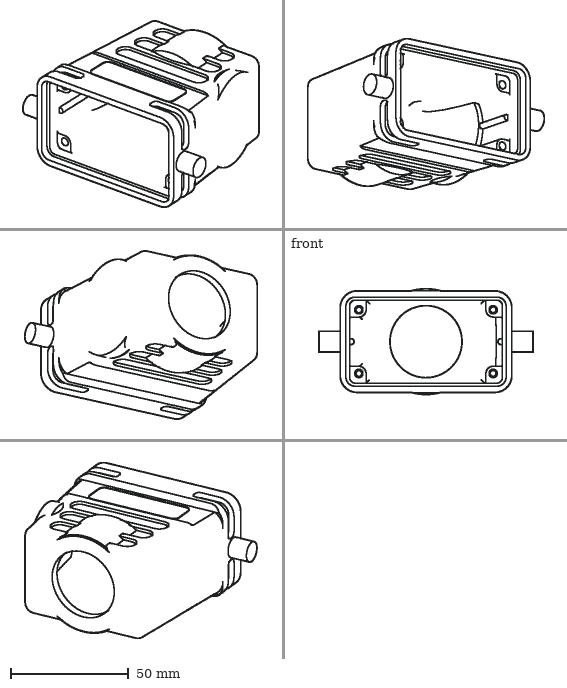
import cadquery as cq
import math


FLANGE_HALF_X = 36.5
FLANGE_HALF_Z = 21.6
FLANGE_DEPTH = 15.1
FLANGE_CORNER_R = 7.3
FLANGE_BEVEL_START = 13.0

LENGTH = 70.4
BACK_HALF_X = 29.2
BODY_HALF_Z = 20.0
BODY_FRONT_CORNER_R = 7.5
BODY_BACK_CORNER_R = 4.2
BACK_EDGE_R = 2.0
LABEL_BAND_HALF_Z = 19.1
LABEL_BAND_END = 31.2
LABEL_BAND_RAMP = 0.4
SIDE_SLOPE = (FLANGE_HALF_X - BACK_HALF_X) / (LENGTH - FLANGE_DEPTH)
SIDE_ANGLE = math.degrees(math.atan(SIDE_SLOPE))

GRIP_HALF_LENGTHS = (23.5, 22.0, 20.5)
GRIP_FIRST_Y = 39.7
GRIP_PITCH = 11.0
GRIP_WIDTH = 8.0
GRIP_CORNER_R = 3.8
GRIP_DRAFT = 5.0
GRIP_FLOOR_Z = 18.7

ENTRY_BOSS_R = 22.5
ENTRY_BOSS_FRONT = GRIP_FIRST_Y + GRIP_PITCH - GRIP_WIDTH / 2
ENTRY_BOSS_RAMP = 30.0
ENTRY_BOSS_CHAMFER = 0.5
ENTRY_HOLE_D = 30.5

SIDE_BOSS_R = 21.0
SIDE_BOSS_Y = 48.5
SIDE_BOSS_RECESS = 0.5
SIDE_BOSS_EDGE_DEPTH = 6.3
SIDE_BOSS_RAMP = 60.0
SIDE_BOSS_WALL = 5.0
BOSS_CONE_DROP = 3.0

LABEL_LENGTH = 44.0
LABEL_WIDTH = 13.0
LABEL_Y = 23.2
LABEL_CORNER_R = 2.8
LABEL_DEPTH = 0.3

GROOVE_Y = 8.15
GROOVE_WIDTH = 4.8
GROOVE_FLOOR_X = 33.9
GROOVE_FLOOR_Z = 19.2
GROOVE_FLOOR_CORNER_R = 4.7
GROOVE_END_X = 18.6
GROOVE_END_Z = 5.0
GROOVE_END_X_R = 1.7
GROOVE_END_Z_R = 2.2

PIN_D = 9.0
PIN_Y = 6.3
PIN_HALF_SPAN = 45.5

LIP_HALF_X = 34.0
LIP_HALF_Z = 18.9
LIP_DEPTH = 3.7
LIP_CORNER_R = 3.8
CAVITY_HALF_X = 32.45
CAVITY_HALF_Z = 17.65
CAVITY_CORNER_R = 2.5
CAVITY_TAPER_START = 33.0
BACK_WALL = 4.0
CAVITY_FLOOR = LENGTH - BACK_WALL
CAVITY_FLOOR_R = 1.8

POST_X = 28.5
POST_Z = 13.5
POST_R = 3.05
POST_FRONT = 9.0
POST_WEB_R = 0.7
SCREW_HOLE_D = 2.5
SCREW_MOUTH_D = 3.5
SCREW_MOUTH_DEPTH = 4.0
SCREW_HOLE_DEPTH = 12.0
DRILL_TIP_ANGLE = 118.0
RIB_FRONT = 10.3
RIB_END = 56.0
RIB_R = 1.25
RIB_PROJECTION = 1.9

SIGNS = (-1, 1)


def rounded_bar(y_start, y_end, half_x, half_z, corner_r):
    """Rounded rectangular bar running along Y."""
    section = cq.Workplane("XZ", origin=(0, y_start, 0)).rect(2 * half_x, 2 * half_z)
    return section.extrude(y_start - y_end).edges("|Y").fillet(corner_r)


def make_shell():
    """Flange and tapered body, trimmed to the stepped side outline."""
    flange = rounded_bar(0, FLANGE_DEPTH, FLANGE_HALF_X, FLANGE_HALF_Z, FLANGE_CORNER_R)
    front = cq.Sketch().rect(2 * FLANGE_HALF_X, 2 * BODY_HALF_Z).vertices().fillet(BODY_FRONT_CORNER_R)
    back = cq.Sketch().rect(2 * BACK_HALF_X, 2 * BODY_HALF_Z).vertices().fillet(BODY_BACK_CORNER_R)
    body_length = LENGTH - FLANGE_DEPTH
    body = (
        cq.Workplane("XZ", origin=(0, FLANGE_DEPTH, 0))
        .placeSketch(front, back.moved(cq.Location(cq.Vector(0, 0, -body_length))))
        .loft(ruled=True)
    )
    body = body.faces(">Y").edges().fillet(BACK_EDGE_R)
    upper = [
        (0, FLANGE_HALF_Z),
        (FLANGE_BEVEL_START, FLANGE_HALF_Z),
        (FLANGE_DEPTH, LABEL_BAND_HALF_Z),
        (LABEL_BAND_END, LABEL_BAND_HALF_Z),
        (LABEL_BAND_END + LABEL_BAND_RAMP, BODY_HALF_Z),
        (LENGTH, BODY_HALF_Z),
    ]
    lower = [(y, -z) for y, z in reversed(upper)]
    outline = cq.Workplane("YZ").polyline(upper + lower).close().extrude(FLANGE_HALF_X, both=True)
    return flange.union(body).intersect(outline)


def make_grip_slots():
    """Three drafted slots of decreasing length on each broad face."""
    slots = cq.Workplane()
    depth = BODY_HALF_Z - GRIP_FLOOR_Z
    for row, half_length in enumerate(GRIP_HALF_LENGTHS):
        rim = cq.Sketch().rect(2 * half_length, GRIP_WIDTH).vertices().fillet(GRIP_CORNER_R)
        slot = (
            cq.Workplane(origin=(0, GRIP_FIRST_Y + row * GRIP_PITCH, BODY_HALF_Z))
            .placeSketch(rim)
            .extrude(-depth, taper=GRIP_DRAFT)
        )
        slots = slots.add(slot).add(slot.mirror("XY"))
    return slots.combine()


def make_label_panel():
    """Shallow rounded recess on the +Z face."""
    return (
        cq.Workplane(origin=(0, LABEL_Y, LABEL_BAND_HALF_Z - LABEL_DEPTH / 2))
        .box(LABEL_LENGTH, LABEL_WIDTH, LABEL_DEPTH)
        .edges("|Z")
        .fillet(LABEL_CORNER_R)
    )


def make_entry_boss():
    """Cylinder along Y with a conical front and a small chamfer at the back."""
    cone_run = BOSS_CONE_DROP * math.tan(math.radians(ENTRY_BOSS_RAMP))
    cone_front = ENTRY_BOSS_FRONT - cone_run
    return (
        cq.Workplane("XY")
        .moveTo(0, cone_front)
        .lineTo(ENTRY_BOSS_R - BOSS_CONE_DROP, cone_front)
        .lineTo(ENTRY_BOSS_R, ENTRY_BOSS_FRONT)
        .lineTo(ENTRY_BOSS_R, LENGTH - ENTRY_BOSS_CHAMFER)
        .lineTo(ENTRY_BOSS_R - ENTRY_BOSS_CHAMFER, LENGTH)
        .lineTo(0, LENGTH)
        .close()
        .revolve(360, (0, 0, 0), (0, 1, 0))
    )


def place_on_side(solid):
    """Move a solid built along X so that x = 0 lies on the tapered +X wall."""
    wall_x = FLANGE_HALF_X - SIDE_SLOPE * (SIDE_BOSS_Y - FLANGE_DEPTH)
    turned = solid.rotate((0, 0, 0), (0, 0, 1), SIDE_ANGLE)
    return turned.translate((wall_x, SIDE_BOSS_Y, 0))


def make_side_boss():
    """Cylinder square to the +X wall, with a conical inner end."""
    cone_run = BOSS_CONE_DROP * math.tan(math.radians(SIDE_BOSS_RAMP))
    cone_end = SIDE_BOSS_EDGE_DEPTH + cone_run
    boss = (
        cq.Workplane("XY")
        .moveTo(-SIDE_BOSS_RECESS, 0)
        .lineTo(-SIDE_BOSS_RECESS, SIDE_BOSS_R)
        .lineTo(-SIDE_BOSS_EDGE_DEPTH, SIDE_BOSS_R)
        .lineTo(-cone_end, SIDE_BOSS_R - BOSS_CONE_DROP)
        .lineTo(-cone_end, 0)
        .close()
        .revolve(360, (0, 0, 0), (1, 0, 0))
    )
    return place_on_side(boss)


def make_corner_grooves():
    """Four grooves, each wrapping a flange corner and ending in rounded ends."""
    y_front = GROOVE_Y - GROOVE_WIDTH / 2
    y_back = GROOVE_Y + GROOVE_WIDTH / 2
    core = rounded_bar(y_front, y_back, GROOVE_FLOOR_X, GROOVE_FLOOR_Z, GROOVE_FLOOR_CORNER_R)
    middle = cq.Workplane(origin=(0, GROOVE_Y, 0))
    broad_face_gap = middle.box(2 * GROOVE_END_X, GROOVE_WIDTH, 2 * FLANGE_HALF_Z)
    end_face_gap = middle.box(2 * FLANGE_HALF_X, GROOVE_WIDTH, 2 * GROOVE_END_Z)
    ring = middle.box(2 * FLANGE_HALF_X, GROOVE_WIDTH, 2 * FLANGE_HALF_Z).cut(core)
    grooves = ring.cut(broad_face_gap).cut(end_face_gap)
    reach = 0.01
    ends_x = cq.selectors.BoxSelector(
        (-GROOVE_END_X - reach, 0, -FLANGE_HALF_Z - reach),
        (GROOVE_END_X + reach, FLANGE_DEPTH, FLANGE_HALF_Z + reach),
    )
    ends_z = cq.selectors.BoxSelector(
        (-FLANGE_HALF_X - reach, 0, -GROOVE_END_Z - reach),
        (FLANGE_HALF_X + reach, FLANGE_DEPTH, GROOVE_END_Z + reach),
    )
    grooves = grooves.edges(ends_x).edges("|Z").fillet(GROOVE_END_X_R)
    return grooves.edges(ends_z).edges("|X").fillet(GROOVE_END_Z_R)


def make_pins():
    """One pin on each end of the flange, rooted in the flange wall."""
    pins = cq.Workplane()
    pin_length = PIN_HALF_SPAN - GROOVE_FLOOR_X
    for side in SIGNS:
        start = (side * GROOVE_FLOOR_X, PIN_Y, 0)
        pin = cq.Workplane("YZ", origin=start).circle(PIN_D / 2).extrude(side * pin_length)
        pins = pins.add(pin)
    return pins.combine()


def make_posts():
    """Corner posts, each rounded about its screw hole."""
    posts = cq.Workplane()
    post_length = CAVITY_FLOOR - POST_FRONT
    inner_x = POST_X - POST_R
    inner_z = POST_Z - POST_R
    size_x = LIP_HALF_X - inner_x
    size_z = LIP_HALF_Z - inner_z
    middle_x = inner_x + size_x / 2
    middle_y = POST_FRONT + post_length / 2
    middle_z = inner_z + size_z / 2
    for side_x in SIGNS:
        for side_z in SIGNS:
            centre = (side_x * middle_x, middle_y, side_z * middle_z)
            post = cq.Workplane(origin=centre).box(size_x, post_length, size_z)
            inner_face = "<X" if side_x > 0 else ">X"
            inner_edge = "<Z" if side_z > 0 else ">Z"
            post = post.faces(inner_face).edges(inner_edge).fillet(POST_R)
            posts = posts.add(post)
    return posts.combine()


def make_post_webs():
    """Concave fillets where each post meets the long wall and the end wall."""
    webs = cq.Workplane()
    corners = (
        (POST_X - POST_R, CAVITY_HALF_Z),
        (CAVITY_HALF_X, POST_Z - POST_R),
    )
    for corner_x, corner_z in corners:
        web = (
            cq.Workplane("XZ", origin=(corner_x, POST_FRONT, corner_z))
            .lineTo(-POST_WEB_R, 0)
            .radiusArc((0, -POST_WEB_R), POST_WEB_R)
            .close()
            .extrude(POST_FRONT - CAVITY_FLOOR)
        )
        webs = webs.add(web).add(web.mirror("XY"))
    webs = webs.combine()
    return webs.add(webs.mirror("YZ")).combine()


def make_ribs():
    """Round-nosed guide rib in the middle of each end wall."""
    ribs = cq.Workplane()
    nose_x = CAVITY_HALF_X - RIB_PROJECTION + RIB_R
    for side in SIGNS:
        rib = (
            cq.Workplane("XZ", origin=(0, RIB_FRONT, 0))
            .moveTo(side * LIP_HALF_X, RIB_R)
            .lineTo(side * nose_x, RIB_R)
            .threePointArc((side * (nose_x - RIB_R), 0), (side * nose_x, -RIB_R))
            .lineTo(side * LIP_HALF_X, -RIB_R)
            .close()
            .extrude(RIB_FRONT - RIB_END)
        )
        ribs = ribs.add(rib)
    return ribs.combine()


def make_side_pad():
    """Thick inner wall behind the side boss: round at the front, square towards the cavity floor."""
    disc = cq.Workplane("YZ").circle(SIDE_BOSS_R).extrude(-SIDE_BOSS_WALL)
    block = (
        cq.Workplane("YZ")
        .center(SIDE_BOSS_R, 0)
        .rect(2 * SIDE_BOSS_R, 2 * SIDE_BOSS_R)
        .extrude(-SIDE_BOSS_WALL)
    )
    return place_on_side(disc.union(block))


def make_cavity():
    """Hollow of the hood, less the posts, ribs and side pad that stand in it."""
    floor_half_x = CAVITY_HALF_X - SIDE_SLOPE * (CAVITY_FLOOR - CAVITY_TAPER_START)
    right = [
        (CAVITY_HALF_X, 0),
        (CAVITY_HALF_X, CAVITY_TAPER_START),
        (floor_half_x, CAVITY_FLOOR),
    ]
    left = [(-x, y) for x, y in reversed(right)]
    tapered = cq.Workplane("XY").polyline(right + left).close().extrude(CAVITY_HALF_Z, both=True)
    bar = rounded_bar(0, CAVITY_FLOOR, CAVITY_HALF_X, CAVITY_HALF_Z, CAVITY_CORNER_R)
    cavity = tapered.intersect(bar).cut(make_posts()).cut(make_side_pad())
    cavity = cavity.faces(">Y").edges().fillet(CAVITY_FLOOR_R)
    lip = rounded_bar(0, LIP_DEPTH, LIP_HALF_X, LIP_HALF_Z, LIP_CORNER_R)
    return cavity.cut(make_post_webs()).cut(make_ribs()).union(lip)


def make_screw_holes():
    """Counterbored blind holes with drill-point bottoms."""
    hole_r = SCREW_HOLE_D / 2
    mouth_r = SCREW_MOUTH_D / 2
    tip = hole_r / math.tan(math.radians(DRILL_TIP_ANGLE / 2))
    hole = (
        cq.Workplane("XY")
        .lineTo(mouth_r, 0)
        .lineTo(mouth_r, SCREW_MOUTH_DEPTH)
        .lineTo(hole_r, SCREW_MOUTH_DEPTH)
        .lineTo(hole_r, SCREW_HOLE_DEPTH)
        .lineTo(0, SCREW_HOLE_DEPTH + tip)
        .close()
        .revolve(360, (0, 0, 0), (0, 1, 0))
    )
    holes = cq.Workplane()
    for side_x in SIGNS:
        for side_z in SIGNS:
            holes = holes.add(hole.translate((side_x * POST_X, POST_FRONT, side_z * POST_Z)))
    return holes.combine()


def make_entry_hole():
    """Round cable entry through the back wall."""
    return cq.Workplane("XZ", origin=(0, LENGTH, 0)).circle(ENTRY_HOLE_D / 2).extrude(BACK_WALL)


shell = make_shell().cut(make_grip_slots()).cut(make_label_panel()).cut(make_corner_grooves())
shell = shell.union(make_entry_boss()).union(make_side_boss()).union(make_pins())
result = shell.cut(make_cavity()).cut(make_screw_holes()).cut(make_entry_hole())